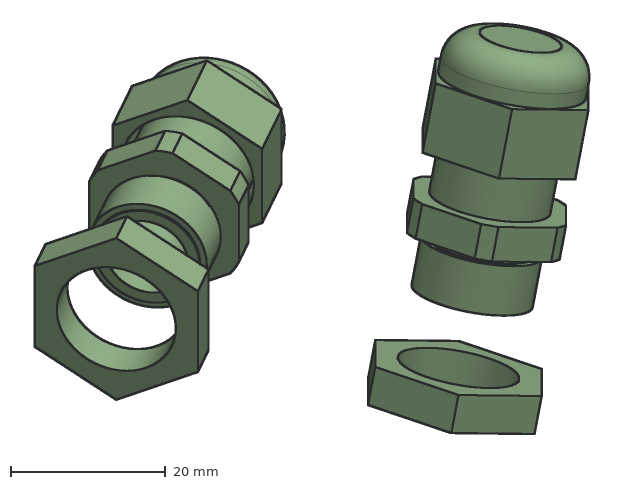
import cadquery as cq
import math


locknut_thickness = 5.2
body_front = 14.85
thread_front = 15.1
groove_front = 21.85
body_hex_front = 23.15
body_hex_back = 27.9
cap_front = 34.5
cap_hex_back = 44.0
dome_start = 46.05
cap_back = 50.15

locknut_flats = 21.85
body_flats = 20.05
body_hex_corner_radius = 11.0
thread_radius = 7.95
groove_radius = 7.05
bore_radius = 5.5
cap_flats = 20.05
cap_radius = 9.75
cap_cavity_radius = 8.95

plug_radius = 5.35
plug_chamfer = 0.3
plug_front = cap_front
cavity_back = cap_hex_back


def plane_at(y):
    """XZ plane at y, with its normal along +Y."""
    return cq.Workplane(cq.Plane(origin=(0, y, 0), xDir=(0, 0, 1), normal=(0, 1, 0)))


def cylinder(radius, front, back):
    return plane_at(front).circle(radius).extrude(back - front)


def hexagon(across_flats, front, back):
    """Hexagonal prism with two corners pointing along Z."""
    across_corners = across_flats / math.cos(math.pi / 6)
    return plane_at(front).polygon(6, across_corners).extrude(back - front)


def make_locknut():
    nut = hexagon(locknut_flats, 0, locknut_thickness)
    return nut.cut(cylinder(thread_radius, 0, locknut_thickness))


def make_body():
    tube = cylinder(groove_radius, body_front, body_hex_front)
    tube = tube.union(cylinder(thread_radius, thread_front, groove_front))
    tube = tube.union(cylinder(thread_radius, body_hex_back, cavity_back))

    wrench_hex = hexagon(body_flats, body_hex_front, body_hex_back)
    corner_limit = cylinder(body_hex_corner_radius, body_hex_front, body_hex_back)
    tube = tube.union(wrench_hex.intersect(corner_limit))

    return tube.cut(cylinder(bore_radius, body_front, cavity_back))


def make_cap():
    dome = cylinder(cap_radius, cap_front, cap_back)
    dome = dome.faces(">Y").edges().fillet(cap_back - dome_start)
    cap = dome.union(hexagon(cap_flats, cap_front, cap_hex_back))

    cap = cap.cut(cylinder(cap_cavity_radius, cap_front, cavity_back))
    return cap.cut(cylinder(plug_radius, cavity_back, cap_back))


def make_plug():
    plug = cylinder(plug_radius, plug_front, cap_back)
    return plug.faces("<Y").edges().chamfer(plug_chamfer)


locknut = make_locknut()
body = make_body()
cap = make_cap()
plug = make_plug()

result = cq.Compound.makeCompound([locknut.val(), body.val(), cap.val(), plug.val()])